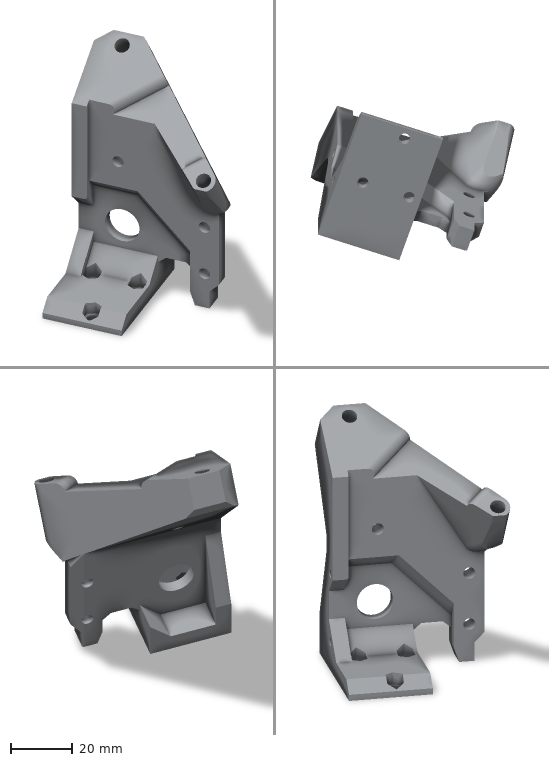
import cadquery as cq
import math

HEIGHT = 85.3

TILT_TAN = math.sqrt(0.5)
TILT_COS = 1 / math.hypot(1, TILT_TAN)
TILT_SIN = TILT_TAN * TILT_COS
CREST_Y = 47.8
HEEL_TOP = (53.9, 76.4)
HEEL_BOTTOM = (53.2, 72.4)

RAIL_FRONT = 24.75
PLATE_FRONT = 26.8
FLOOR_FRONT = 30.6
PLATE_BACK = 34.5
BASE_BACK = 44.6

RAIL_WIDTH = 5.4
RAIL_EDGE_RADIUS = 0.8
OPENING_BOTTOM = 17.2
OPENING_TOP = 27.05
BASE_WIDTH = 28.2
BASE_THICK = 6.1
NOSE_LIP = 2.1
NOSE_RUN = 4.1
GUSSET_BOTTOM = 14.3
GUSSET_TOP = 39.1
OVERHANG_START = 45.8

PLATE_RIGHT = 51.5
GAP_TOP = 13.2
GAP_SHOULDER = 10.8
GAP_CORNER_WIDTH = 2.9
LEG_LEFT = 41.1
LEG_TAPER_RUN = 1.8
LEG_TAPER_TOP = 5.2
LEG_FOOT_RIGHT = 48.1
LEG_STEP = 6.6
BACK_CORNER_RUN = 3.8
BACK_CORNER_DEPTH = 2.5

RELIEF_TOP = 39.2
RELIEF_CORNER = 22.7
RELIEF_TAPER = 4.0

CREST_LEFT = 5.3
CREST_DROP = 5.0
EDGE_ANGLE = math.radians(46.7)
TIP_X = 52.5
TIP_SLOPE = -44.6
TIP_RADIUS = 4.1
TIP_FLAT = 3.5
ARM_ROOT_X = 28.6
ARM_ROOT_SLOPE = -27.7

GROOVE_START = 18.8
GROOVE_LENGTH = 29.95
GROOVE_DEPTH = 3.0

UNDERSIDE_X = 56.6
UNDERSIDE_Z = 43.2
UNDERSIDE_FILLET = 5.3
CHIN_TOP = (11.2, 53.8)
CHIN_BOTTOM = (21.7, 41.3)

TILTED_HOLES = [(9.9, -4.7), (TIP_X, TIP_SLOPE)]
TILTED_HOLE_DIAMETER = 5.1
TILTED_HOLE_DEPTH = 10.0
BORE_X = 15.5
BORE_Z = 22.1
BORE_DIAMETER = 12.2
PLATE_HOLES = [(15.6, 49.0), (46.3, 31.0), (46.3, 13.05)]
PLATE_HOLE_DIAMETER = 4.0
SIDE_HOLE_Y = 28.25
SIDE_HOLES_Z = [10.1, 34.05]
SIDE_HOLE_DIAMETER = 2.7
SIDE_HOLE_DEPTH = 4.0
NUTS = [(8.1, 22.6, 3.0), (24.15, 22.6, 3.0), (16.1, 3.7, 2.0)]
NUT_FLATS = 5.6
NUT_HOLE_DIAMETER = 3.7
NUT_CLEARANCE = 17.1

FAR = 102.4
PRISM_DEPTH = 76.8
BLOCK_WALL = 64.0
BLOCK_MARGIN = 8.5

FACE_NORMAL = cq.Vector(0, -TILT_SIN, TILT_COS)
FACE = cq.Plane(origin=(0, CREST_Y, HEIGHT), xDir=(1, 0, 0), normal=FACE_NORMAL)
EDGE_COS = math.cos(EDGE_ANGLE)
EDGE_SIN = math.sin(EDGE_ANGLE)
EDGE_END = (TIP_X + TIP_RADIUS * EDGE_SIN, TIP_SLOPE + TIP_RADIUS * EDGE_COS)
CREST_RIGHT = EDGE_END[0] + EDGE_END[1] * EDGE_COS / EDGE_SIN


def face_height(y):
    """Height of the tilted face at a given Y."""
    return HEIGHT - (CREST_Y - y) * TILT_TAN


def tip_point(angle):
    """Point on the tip circle, in the tilted plane."""
    return (TIP_X + TIP_RADIUS * math.cos(angle), TIP_SLOPE + TIP_RADIUS * math.sin(angle))


def extrude_x(points, width):
    """Solid from X = 0, with a (Y, Z) outline."""
    return cq.Workplane("YZ").polyline(points).close().extrude(width)


def extrude_y(points, front, back):
    """Solid between two Y positions, with an (X, Z) outline."""
    sketch = cq.Workplane("XZ", origin=(0, front, 0))
    return sketch.polyline(points).close().extrude(front - back)


def make_base():
    """Foot with a bevelled nose, a front ramp up to the plate and a ramp at its rear right."""
    ramp = GAP_TOP - BASE_THICK
    foot = extrude_x(
        [
            (0, 0),
            (BASE_BACK, 0),
            (BASE_BACK, BASE_THICK),
            (PLATE_BACK, BASE_THICK),
            (PLATE_BACK, GAP_TOP),
            (FLOOR_FRONT, GAP_TOP),
            (FLOOR_FRONT - ramp, BASE_THICK),
            (NOSE_RUN, BASE_THICK),
            (0, NOSE_LIP),
        ],
        BASE_WIDTH,
    )
    rear_ramp = extrude_y(
        [(BASE_WIDTH - ramp, BASE_THICK), (BASE_WIDTH, BASE_THICK), (BASE_WIDTH, GAP_TOP)],
        PLATE_BACK,
        BASE_BACK,
    )
    return foot.union(rear_ramp)


def make_rail():
    """Side wall on the left: raised front rail, opening and rear gusset."""
    lower_ramp = OPENING_BOTTOM - BASE_THICK
    upper_ramp = FLOOR_FRONT - RAIL_FRONT
    rail = extrude_x(
        [
            (CREST_Y, HEIGHT),
            HEEL_TOP,
            HEEL_BOTTOM,
            (PLATE_BACK, OVERHANG_START),
            (PLATE_BACK, GUSSET_TOP),
            (BASE_BACK, GUSSET_BOTTOM),
            (BASE_BACK, 0),
            (FLOOR_FRONT - lower_ramp, 0),
            (FLOOR_FRONT - lower_ramp, BASE_THICK),
            (FLOOR_FRONT, OPENING_BOTTOM),
            (FLOOR_FRONT, OPENING_TOP),
            (RAIL_FRONT, OPENING_TOP + upper_ramp),
            (RAIL_FRONT, face_height(RAIL_FRONT)),
        ],
        RAIL_WIDTH,
    )
    ramp_y = FLOOR_FRONT - upper_ramp / 2
    ramp_z = OPENING_TOP + upper_ramp / 2
    ramp_edge = cq.NearestToPointSelector((RAIL_WIDTH, ramp_y, ramp_z))
    return rail.edges(ramp_edge).fillet(RAIL_EDGE_RADIUS).intersect(make_outline())


def make_plate():
    """Upright plate with the leg, below the leaning body."""
    underside_start = PLATE_RIGHT - UNDERSIDE_X + UNDERSIDE_Z
    plate = extrude_y(
        [
            (0, 0),
            (BASE_WIDTH, 0),
            (BASE_WIDTH, GAP_SHOULDER),
            (BASE_WIDTH + GAP_CORNER_WIDTH, GAP_TOP),
            (LEG_LEFT - GAP_CORNER_WIDTH, GAP_TOP),
            (LEG_LEFT, GAP_SHOULDER),
            (LEG_LEFT, LEG_TAPER_TOP),
            (LEG_LEFT + LEG_TAPER_RUN, 0),
            (LEG_FOOT_RIGHT, 0),
            (LEG_FOOT_RIGHT, LEG_STEP),
            (PLATE_RIGHT, LEG_STEP + PLATE_RIGHT - LEG_FOOT_RIGHT),
            (PLATE_RIGHT, underside_start),
            (PLATE_RIGHT - BACK_CORNER_RUN, OVERHANG_START),
            (0, OVERHANG_START),
        ],
        PLATE_FRONT,
        PLATE_BACK,
    )
    back_corner = (
        cq.Workplane("XY")
        .moveTo(PLATE_RIGHT - BACK_CORNER_RUN, PLATE_BACK)
        .lineTo(PLATE_RIGHT, PLATE_BACK - BACK_CORNER_DEPTH)
        .lineTo(PLATE_RIGHT, PLATE_BACK)
        .close()
        .extrude(FAR)
    )
    return plate.cut(back_corner)


def make_relief():
    """Shallow recess whose top and diagonal walls slope in to its floor."""

    def section(top, corner):
        diagonal_end = top - (LEG_LEFT - corner)
        return [(0, 0), (0, top), (corner, top), (LEG_LEFT, diagonal_end), (LEG_LEFT, 0)]

    corner_shift = RELIEF_TAPER * math.tan(math.radians(22.5))
    return (
        cq.Workplane("XZ", origin=(0, PLATE_FRONT, 0))
        .polyline(section(RELIEF_TOP, RELIEF_CORNER))
        .close()
        .workplane(offset=PLATE_FRONT - FLOOR_FRONT)
        .polyline(section(RELIEF_TOP - RELIEF_TAPER, RELIEF_CORNER - corner_shift))
        .close()
        .loft(ruled=True)
    )


def make_outline():
    """Space under the outline of the tilted face, square to that face."""
    return (
        cq.Workplane(FACE)
        .moveTo(0, -CREST_DROP)
        .lineTo(CREST_LEFT, 0)
        .lineTo(CREST_RIGHT, 0)
        .lineTo(*EDGE_END)
        .threePointArc(tip_point((math.pi / 2 - EDGE_ANGLE) / 2), tip_point(0))
        .lineTo(TIP_X + TIP_RADIUS, -FAR)
        .lineTo(0, -FAR)
        .close()
        .extrude(-PRISM_DEPTH)
    )


def make_underside():
    """Space below the 45 degree underside at the right."""
    offset = UNDERSIDE_Z - UNDERSIDE_X
    return extrude_y([(-FAR, offset - FAR), (FAR, offset + FAR), (FAR, offset - FAR)], -FAR, FAR)


def make_chin():
    """Space below the sloped flat under the tip."""
    run = CHIN_BOTTOM[0] - CHIN_TOP[0]
    drop = CHIN_TOP[1] - CHIN_BOTTOM[1]
    above = (CHIN_TOP[0] - run, CHIN_TOP[1] + drop)
    below = (CHIN_BOTTOM[0] + run, CHIN_BOTTOM[1] - drop)
    return extrude_x([above, below, (above[0], below[1])], FAR)


def make_arm():
    """Arm with a rounded, flat-ended tip and a rounded lower edge."""
    reach_x = TIP_X - ARM_ROOT_X
    reach_slope = TIP_SLOPE - ARM_ROOT_SLOPE
    tangent_turn = math.asin(TIP_RADIUS / math.hypot(reach_x, reach_slope))
    wall_angle = math.atan2(reach_slope, reach_x) - tangent_turn

    wall_touch = wall_angle - math.pi / 2
    edge_touch = math.pi / 2 - EDGE_ANGLE
    prism = (
        cq.Workplane(FACE)
        .moveTo(ARM_ROOT_X, ARM_ROOT_SLOPE)
        .lineTo(*tip_point(wall_touch))
        .threePointArc(tip_point((wall_touch + edge_touch) / 2), EDGE_END)
        .lineTo(CREST_RIGHT, 0)
        .close()
        .extrude(-PRISM_DEPTH)
    )
    beyond_flat = (
        cq.Workplane(FACE)
        .moveTo(TIP_X - TIP_RADIUS, TIP_SLOPE - TIP_FLAT)
        .rect(2 * TIP_RADIUS, -2 * TIP_RADIUS, centered=False)
        .extrude(-PRISM_DEPTH)
    )

    wall_x = math.cos(wall_angle)
    wall_slope = math.sin(wall_angle)
    block = (
        cq.Workplane(FACE)
        .moveTo(ARM_ROOT_X - BLOCK_MARGIN * wall_x, ARM_ROOT_SLOPE - BLOCK_MARGIN * wall_slope)
        .line(BLOCK_WALL * wall_x, BLOCK_WALL * wall_slope)
        .lineTo(FAR, BLOCK_MARGIN)
        .lineTo(0, BLOCK_MARGIN)
        .close()
        .extrude(-PRISM_DEPTH)
        .cut(make_underside())
    )
    wall_direction = cq.Vector(wall_x, wall_slope * TILT_COS, wall_slope * TILT_SIN)
    lower_edge = wall_direction.cross(FACE_NORMAL).cross(cq.Vector(1, 0, -1))
    block = block.edges(cq.ParallelDirSelector(lower_edge)).fillet(UNDERSIDE_FILLET)
    return prism.intersect(block).cut(beyond_flat).cut(make_chin())


def make_leaning_body():
    """Body under the tilted face, together with the arm."""
    lean_drop = (PLATE_BACK - PLATE_FRONT) / TILT_TAN
    back = [
        (CREST_Y, HEIGHT),
        HEEL_TOP,
        HEEL_BOTTOM,
        (PLATE_BACK, OVERHANG_START),
        (PLATE_FRONT, OVERHANG_START - lean_drop),
    ]
    body = extrude_x(back + [(PLATE_FRONT, face_height(PLATE_FRONT))], FAR)
    body = body.intersect(make_outline()).cut(make_underside())
    arm_space = extrude_x(back + [(PLATE_FRONT, 0), (0, 0), (0, face_height(0))], FAR)
    return body.union(make_arm().intersect(arm_space))


def make_groove():
    """Straight groove square to the outer edge, with both rims rounded over."""
    along_edge = cq.Vector(EDGE_COS, -EDGE_SIN * TILT_COS, -EDGE_SIN * TILT_SIN)
    section = cq.Plane(
        origin=(CREST_RIGHT, CREST_Y, HEIGHT),
        xDir=along_edge,
        normal=along_edge.cross(FACE_NORMAL),
    )
    end = GROOVE_START + GROOVE_LENGTH
    radius = GROOVE_DEPTH
    inset = radius * (1 - math.sqrt(0.5))
    return (
        cq.Workplane(section)
        .moveTo(GROOVE_START - radius, 0)
        .threePointArc((GROOVE_START - inset, -inset), (GROOVE_START, -radius))
        .lineTo(end, -radius)
        .threePointArc((end + inset, -inset), (end + radius, 0))
        .close()
        .extrude(FAR, both=True)
    )


def make_holes():
    """All round holes and nut pockets, as solids to remove."""
    tilted = cq.Workplane(FACE).pushPoints(TILTED_HOLES).circle(TILTED_HOLE_DIAMETER / 2)
    holes = tilted.extrude(-TILTED_HOLE_DEPTH)

    bore = cq.Workplane("XZ").center(BORE_X, BORE_Z).circle(BORE_DIAMETER / 2)
    holes = holes.add(bore.extrude(-FAR))

    plate = cq.Workplane("XZ", origin=(0, PLATE_FRONT, 0)).pushPoints(PLATE_HOLES)
    holes = holes.add(plate.circle(PLATE_HOLE_DIAMETER / 2).extrude(-FAR))

    side = cq.Workplane("YZ").pushPoints([(SIDE_HOLE_Y, z) for z in SIDE_HOLES_Z])
    holes = holes.add(side.circle(SIDE_HOLE_DIAMETER / 2).extrude(SIDE_HOLE_DEPTH))

    nut_corners = NUT_FLATS / math.cos(math.radians(30))
    for x, y, floor in NUTS:
        screw = cq.Workplane("XY").center(x, y).circle(NUT_HOLE_DIAMETER / 2).extrude(floor)
        seat = cq.Plane(origin=(x, y, floor), xDir=(0, 1, 0), normal=(0, 0, 1))
        pocket = cq.Workplane(seat).polygon(6, nut_corners).extrude(NUT_CLEARANCE)
        holes = holes.add(screw).add(pocket)
    return holes.vals()


result = make_plate().union(make_leaning_body()).cut(make_relief()).cut(make_groove())
result = result.union(make_base()).union(make_rail())
for hole in make_holes():
    result = result.cut(cq.Workplane(hole))
result = cq.Workplane(result.solids().val())